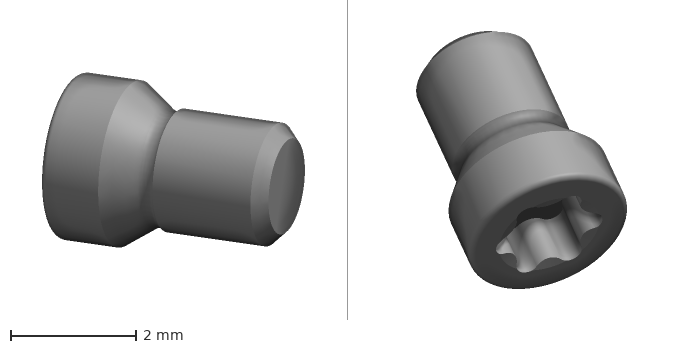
import cadquery as cq
import math

length = 3.7
head_radius = 1.35
head_length = 1.0
head_edge_radius = 0.1
cone_angle = math.radians(34.5)

shank_radius = 1.0
end_chamfer = 0.222
neck_depth = 0.055
neck_arc_radius = 0.2

lobe_count = 6
drive_tip_radius = 0.905
drive_valley_radius = 0.67
lobe_rounding = 0.205
drive_depth = 0.9
countersink_radius = 0.855
countersink_angle = math.radians(15)


def polar(radius, angle):
    return radius * math.cos(angle), radius * math.sin(angle)


def make_body():
    """Revolved head, conical underside, neck groove and chamfered shank."""
    neck_radius = shank_radius - neck_depth
    neck_center_r = neck_radius + neck_arc_radius

    cone_end_r = neck_center_r - neck_arc_radius * math.cos(cone_angle)
    cone_end_x = head_length + (head_radius - cone_end_r) / math.tan(cone_angle)
    neck_x = cone_end_x + neck_arc_radius * math.sin(cone_angle)
    shank_x = neck_x + math.sqrt(neck_arc_radius**2 - (neck_arc_radius - neck_depth) ** 2)

    profile = (
        cq.Workplane("XY")
        .lineTo(0, head_radius)
        .lineTo(head_length, head_radius)
        .lineTo(cone_end_x, cone_end_r)
        .tangentArcPoint((neck_x, neck_radius), relative=False)
        .tangentArcPoint((shank_x, shank_radius), relative=False)
        .lineTo(length - end_chamfer, shank_radius)
        .lineTo(length, shank_radius - end_chamfer)
        .lineTo(length, 0)
        .close()
    )
    body = profile.revolve(360, (0, 0, 0), (1, 0, 0))
    return body.faces("<X").edges().fillet(head_edge_radius)


def make_drive():
    """Six-lobe prism whose tip and valley arcs meet tangentially."""
    half_pitch = math.pi / lobe_count
    tip_center = drive_tip_radius - lobe_rounding

    valley_rounding = (
        tip_center**2
        + drive_valley_radius**2
        - 2 * tip_center * drive_valley_radius * math.cos(half_pitch)
        - lobe_rounding**2
    ) / (2 * (lobe_rounding - drive_valley_radius + tip_center * math.cos(half_pitch)))
    valley_x, valley_y = polar(drive_valley_radius + valley_rounding, half_pitch)

    share = lobe_rounding / (lobe_rounding + valley_rounding)
    joint_x = tip_center + share * (valley_x - tip_center)
    joint_y = share * valley_y
    joint_radius = math.hypot(joint_x, joint_y)
    joint_angle = math.atan2(joint_y, joint_x)

    outline = cq.Workplane("YZ").moveTo(*polar(joint_radius, -joint_angle))
    for lobe in range(lobe_count):
        tip = 2 * half_pitch * lobe
        valley = tip + half_pitch
        next_tip = valley + half_pitch
        outline = outline.threePointArc(
            polar(drive_tip_radius, tip), polar(joint_radius, tip + joint_angle)
        ).threePointArc(
            polar(drive_valley_radius, valley), polar(joint_radius, next_tip - joint_angle)
        )
    return outline.close().extrude(drive_depth)


def make_countersink():
    """Shallow cone that breaks the inner edges of the recess."""
    depth = countersink_radius * math.tan(countersink_angle)
    profile = cq.Workplane("XY").lineTo(0, countersink_radius).lineTo(depth, 0).close()
    return profile.revolve(360, (0, 0, 0), (1, 0, 0))


result = make_body().cut(make_drive()).cut(make_countersink())